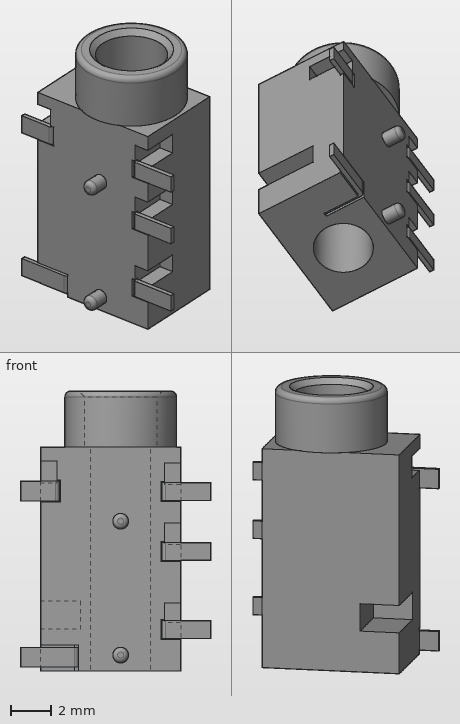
import cadquery as cq


housing_left = -4.0
housing_width = 7.01
housing_depth = 5.0
housing_height = 11.2
housing_right = housing_left + housing_width
front_face = -housing_depth / 2
back_face = housing_depth / 2

total_height = 14.0
barrel_radius = 2.8
barrel_rounding = 0.3
bore_radius = 1.5
mouth_radius = 1.8
mouth_chamfer = 0.3
barrel_length = total_height - housing_height

peg_radius = 0.39
peg_tip = -3.5
peg_rounding = 0.24
peg_heights = [0.8, 7.49]

notch_bottom = 2.1
notch_height = 1.4
notch_front = -0.7
notch_depth = 2.0

metal_thickness = 0.24
bend_radius = 0.2
terminal_standoff = 0.03
terminal_span = 9.5
left_tip = -5.0
right_tip = left_tip + terminal_span
strip_front = front_face - terminal_standoff
strip_back = strip_front + metal_thickness
clearance = 0.05

left_strip_width = 1.0
right_strip_width = 0.9
left_inner_end = -3.05
right_inner_end = 2.06
left_strip_bottom = 8.5
right_strip_bottoms = [1.62, 5.53, 8.53]

window_depth = 0.81
window_length = 2.0
window_back = front_face + window_length
window_overlap = 0.1
left_window_top = 10.5
right_window_tops = [3.4, 7.39, 10.4]

fixed_inner_end = -2.1
fixed_strip_bottom = 0.2
fixed_recess_top = 1.3
fixed_leg_length = 2.0


def block(x_range, y_range, z_range):
    """Axis-aligned block given by its two limits along each axis."""
    x_low, x_high = sorted(x_range)
    y_low, y_high = y_range
    z_low, z_high = z_range
    size = (x_high - x_low, y_high - y_low, z_high - z_low)
    return cq.Workplane("XY").box(*size, centered=False).translate((x_low, y_low, z_low))


def make_strip(tip, inner_end, bottom, width):
    """Flat strip whose inner end is rounded on the outer face."""
    strip = block((inner_end, tip), (strip_front, strip_back), (bottom, bottom + width))
    outer_corner = cq.selectors.NearestToPointSelector((inner_end, strip_front, bottom + width / 2))
    return strip.edges(outer_corner).fillet(bend_radius)


def strip_seat(side_face, wall, bottom, top):
    """Shallow recess in the front face, open to one side of the housing."""
    return block((wall, side_face), (front_face, strip_back), (bottom, top))


def terminal_window(side_face, inner_face, strip_top, window_top):
    """Side opening that starts just below the top edge of a strip."""
    return block((inner_face, side_face), (front_face, window_back), (strip_top - window_overlap, window_top))


def make_barrel():
    barrel = cq.Workplane("XY").workplane(offset=housing_height).circle(barrel_radius).extrude(barrel_length)
    return barrel.faces(">Z").edges().fillet(barrel_rounding)


def make_bore():
    """Through bore, widened along the barrel, with a chamfered mouth."""
    through_bore = cq.Workplane("XY").circle(bore_radius).extrude(total_height)
    mouth_profile = [
        (0, housing_height),
        (mouth_radius, housing_height),
        (mouth_radius, total_height - mouth_chamfer),
        (mouth_radius + mouth_chamfer, total_height),
        (0, total_height),
    ]
    mouth = cq.Workplane("XZ").polyline(mouth_profile).close().revolve(360, (0, 0), (0, 1))
    return through_bore.union(mouth)


def make_peg(height):
    peg = cq.Workplane("XZ", origin=(0, front_face, height)).circle(peg_radius).extrude(front_face - peg_tip)
    return peg.faces("<Y").edges().fillet(peg_rounding)


def add_fixed_terminal(housing):
    """Terminal that is one piece with the housing: it fits tight against the end of its seat."""
    leg_x = (fixed_inner_end - bend_radius, fixed_inner_end)
    leg_y = (strip_back, strip_back + fixed_leg_length)
    strip_top = fixed_strip_bottom + left_strip_width
    seat = strip_seat(housing_left, fixed_inner_end, 0, fixed_recess_top)
    leg_slot = block(leg_x, leg_y, (0, fixed_recess_top))
    strip = make_strip(left_tip, fixed_inner_end, fixed_strip_bottom, left_strip_width)
    leg = block(leg_x, leg_y, (fixed_strip_bottom, strip_top))
    return housing.cut(seat).cut(leg_slot).union(strip).union(leg)


def make_housing():
    housing = block((housing_left, housing_right), (front_face, back_face), (0, housing_height))
    housing = housing.union(make_barrel()).cut(make_bore())
    for height in peg_heights:
        housing = housing.union(make_peg(height))

    notch_top = notch_bottom + notch_height
    notch_inner = housing_left + notch_depth
    housing = housing.cut(
        block((housing_left, notch_inner), (notch_front, back_face), (notch_bottom, notch_top))
    )

    left_strip_top = left_strip_bottom + left_strip_width
    housing = housing.cut(strip_seat(
        housing_left, left_inner_end + clearance,
        left_strip_bottom - clearance, left_strip_top + clearance,
    ))
    housing = housing.cut(terminal_window(
        housing_left, housing_left + window_depth, left_strip_top, left_window_top,
    ))

    for bottom, window_top in zip(right_strip_bottoms, right_window_tops):
        strip_top = bottom + right_strip_width
        housing = housing.cut(strip_seat(
            housing_right, right_inner_end - clearance, bottom - clearance, strip_top + clearance,
        ))
        housing = housing.cut(terminal_window(
            housing_right, housing_right - window_depth, strip_top, window_top,
        ))

    return add_fixed_terminal(housing)


housing = make_housing()
left_terminal = make_strip(left_tip, left_inner_end, left_strip_bottom, left_strip_width)
right_terminals = [
    make_strip(right_tip, right_inner_end, bottom, right_strip_width) for bottom in right_strip_bottoms
]

result = cq.Compound.makeCompound(
    [housing.val(), left_terminal.val()] + [terminal.val() for terminal in right_terminals]
)